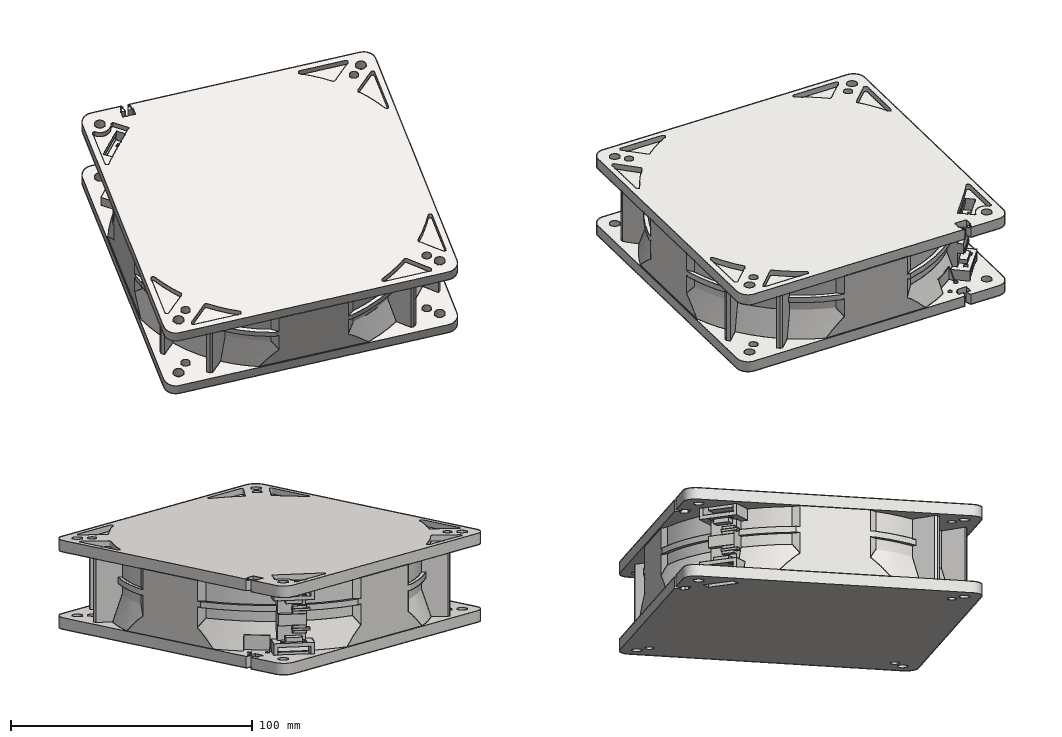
import cadquery as cq
import math

SIDE = 127.0
HEIGHT = 38.0
CORNER_RADIUS = 5.3
FLANGE = 5.0
HALF = SIDE / 2
TOP = HEIGHT / 2
INNER_TOP = TOP - FLANGE
GAP = 2 * INNER_TOP

BODY_HALF = HALF - 0.5
BODY_RADIUS = 63.4
CONE_TOP_Z = -2.2
CONE_BOTTOM_RADIUS = 67.3
FLAT_HALF_WIDTH = 15.0
JAMB_REACH = 5.6
JAMB_DEPTH = 4.3
RING_RADIUS = 65.2
RING_BOTTOM_Z = 2.5
RING_HEIGHT = 2.5

WEB_OUTER_OFFSET = 17.5
WEB_INNER_OFFSET = 14.0
WEB_END = 60.5
WEB_END_FLAT = 1.3
WEB_ROOT = 40.6

HOLE_CENTER = 56.5
HOLE_DIAMETER = 4.5
SMALL_HOLE_CENTER = 52.2
SMALL_HOLE_DIAMETER = 3.8
POCKET_DEPTH = 2.5
POCKET_EDGE = 60.8
POCKET_OFFSET = 7.6
POCKET_INNER_RADIUS = 66.8
POCKET_FILLET = 0.9
PLAIN_CORNERS = [(1, 1), (-1, 1), (1, -1)]
ALL_CORNERS = PLAIN_CORNERS + [(-1, -1)]

TERMINAL_ANGLE = 140.0
FRAME_U = (-7.2, 9.9)
FRAME_W = 73.0
FRAME_BOTTOM_Z = 9.1
FRAME_WALL = 1.7
FRAME_FLOOR_Z = FRAME_BOTTOM_Z + FRAME_WALL
ROOT_W = 57.2
BLOCK_U = (-4.3, 7.5)
BLOCK_W = 69.8
BLOCK_HALF_HEIGHT = 2.4
RECESS_W = 67.5
BAR_U = (-2.5, 4.5)
BAR_W = 71.0
BAR_BOTTOM_Z = 7.2
CHEEK_U = (-4.3, 1.4)
CHEEK_W = 69.5
CHEEK_TOP_Z = 5.8
PIN_U = (-5.8, 1.5)
PIN_W = 69.8
PIN_Z = (3.7, 4.7)
OPENING_W = (68.3, 72.6)
TERMINAL_POCKET_INNER_W = 67.8
LEAD_HOLE_U = (-3.4, 5.8)
LEAD_HOLE_W = 70.6
LEAD_HOLE_SIZE = (1.5, 1.8)
TERMINAL_POCKET_OUTER_W = 74.9
TERMINAL_POCKET_CORNER_X = -52.8
TERMINAL_POCKET_TAIL_X = -32.4
HOLE_BOSS_RADIUS = 4.7

SLOT_X = (-61.0, -57.5)
SLOT_Y = (-46.2, -40.8)
THROAT_CENTER_Y = -43.5
THROAT_MOUTH = 2.8
THROAT_NECK = 1.0
LIP_END_X = -62.7
LIP_WIDTH = 4.3
LIP_RECESS = 0.6
SLOT_CHAMFER = 1.3

RELIEF_START = (-55.2, -33.8)
RELIEF_END = (-49.0, -42.8)
RELIEF_TOP_Z = -7.6
RELIEF_REACH = 5.1
PIN_HOLES = [(-57.3, -38.6), (-52.3, -44.2)]
PIN_HOLE_DIAMETER = 1.8
PIN_HOLE_DEPTH = 2.5


def level(z):
    return cq.Workplane("XY", origin=(0, 0, z))


def terminal_level(z):
    angle = math.radians(TERMINAL_ANGLE)
    along = (math.cos(angle), math.sin(angle), 0)
    return cq.Workplane(cq.Plane(origin=(0, 0, z), xDir=along, normal=(0, 0, 1)))


def box(plane, first, second, height):
    """Box standing on a plane, given its two ranges in that plane."""
    corners = [(a, b) for a in first for b in second]
    outline = [corners[0], corners[2], corners[3], corners[1]]
    return plane.polyline(outline).close().extrude(height)


def terminal_box(u_range, w_range, z_range):
    return box(terminal_level(z_range[0]), u_range, w_range, z_range[1] - z_range[0])


def terminal_point(u, w):
    angle = math.radians(TERMINAL_ANGLE)
    return (u * math.cos(angle) - w * math.sin(angle), u * math.sin(angle) + w * math.cos(angle))


def mirrored_pair(solid):
    return solid.union(solid.mirror("XY"))


def flanges():
    lower = level(-TOP).rect(SIDE, SIDE).extrude(FLANGE).edges("|Z").fillet(CORNER_RADIUS)
    return mirrored_pair(lower)


def body():
    drum = level(-INNER_TOP).circle(BODY_RADIUS).extrude(GAP)
    cone = (
        level(-INNER_TOP).circle(CONE_BOTTOM_RADIUS)
        .workplane(offset=CONE_TOP_Z + INNER_TOP).circle(BODY_RADIUS).loft()
    )
    ring = level(RING_BOTTOM_Z).circle(RING_RADIUS).extrude(RING_HEIGHT)
    for sx, sy in PLAIN_CORNERS:
        between_webs = level(RING_BOTTOM_Z).polyline([
            (0, 0), (0, sy * WEB_INNER_OFFSET),
            (sx * (HALF - WEB_INNER_OFFSET), sy * HALF), (sx * HALF, sy * HALF),
            (sx * HALF, sy * (HALF - WEB_INNER_OFFSET)), (sx * WEB_INNER_OFFSET, 0),
        ]).close().extrude(RING_HEIGHT)
        ring = ring.cut(between_webs)
    solid = drum.union(cone).union(ring)

    root_half = FLAT_HALF_WIDTH + JAMB_REACH
    root_y = BODY_HALF - JAMB_DEPTH
    side_wall = level(-INNER_TOP).polyline([
        (-root_half, 0), (-root_half, root_y), (-FLAT_HALF_WIDTH, BODY_HALF),
        (FLAT_HALF_WIDTH, BODY_HALF), (root_half, root_y), (root_half, 0),
    ]).close().extrude(GAP)
    for turn in range(4):
        solid = solid.union(side_wall.rotate((0, 0, 0), (0, 0, 1), 90 * turn))

    envelope = level(-INNER_TOP).rect(2 * BODY_HALF, 2 * BODY_HALF).extrude(GAP)
    return solid.intersect(envelope)


def both_sides_of_diagonal(outline):
    return [outline, [(y, x) for x, y in outline]]


def webs():
    outer_end_x = WEB_END - WEB_OUTER_OFFSET
    bevel_x = outer_end_x + WEB_END_FLAT
    bevel = (WEB_OUTER_OFFSET - WEB_INNER_OFFSET - WEB_END_FLAT) / 2
    root_shift = (WEB_OUTER_OFFSET - WEB_INNER_OFFSET) / 2
    outline = [
        (WEB_ROOT - WEB_OUTER_OFFSET, WEB_ROOT),
        (outer_end_x, WEB_END),
        (bevel_x, WEB_END),
        (bevel_x + bevel, WEB_END - bevel),
        (WEB_ROOT - WEB_OUTER_OFFSET + root_shift, WEB_ROOT - root_shift),
    ]
    solid = cq.Workplane("XY")
    for sx, sy in PLAIN_CORNERS:
        for half in both_sides_of_diagonal(outline):
            points = [(sx * x, sy * y) for x, y in half]
            solid = solid.union(level(-INNER_TOP).polyline(points).close().extrude(GAP))
    return solid


def corner_holes():
    main = [(sx * HOLE_CENTER, sy * HOLE_CENTER) for sx, sy in ALL_CORNERS]
    small = [(sx * SMALL_HOLE_CENTER, sy * SMALL_HOLE_CENTER) for sx, sy in PLAIN_CORNERS]
    solid = level(-TOP).pushPoints(main).circle(HOLE_DIAMETER / 2).extrude(HEIGHT)
    return solid.union(level(-TOP).pushPoints(small).circle(SMALL_HOLE_DIAMETER / 2).extrude(HEIGHT))


def corner_pockets():
    floor = TOP - POCKET_DEPTH
    inner_disc = level(floor).circle(POCKET_INNER_RADIUS).extrude(POCKET_DEPTH)
    outline = [
        (0, POCKET_OFFSET), (0, POCKET_EDGE), (POCKET_EDGE - POCKET_OFFSET, POCKET_EDGE),
    ]
    solid = cq.Workplane("XY")
    for sx, sy in PLAIN_CORNERS:
        for half in both_sides_of_diagonal(outline):
            points = [(sx * x, sy * y) for x, y in half]
            pocket = level(floor).polyline(points).close().extrude(POCKET_DEPTH).cut(inner_disc)
            solid = solid.union(pocket.edges("|Z").fillet(POCKET_FILLET))
    return solid


def frame_opening_u():
    return (FRAME_U[0] + FRAME_WALL, FRAME_U[1] - FRAME_WALL)


def terminal_block():
    """Terminal carrier and the frames above and below it."""
    block = terminal_box(BLOCK_U, (ROOT_W, BLOCK_W), (-BLOCK_HALF_HEIGHT, BLOCK_HALF_HEIGHT))
    back = terminal_box(BLOCK_U, (ROOT_W, RECESS_W), (0, FRAME_BOTTOM_Z))
    frame = terminal_box(FRAME_U, (ROOT_W, FRAME_W), (FRAME_BOTTOM_Z, INNER_TOP))
    hollow = terminal_box(frame_opening_u(), (ROOT_W, FRAME_W), (FRAME_FLOOR_Z, INNER_TOP))
    frame = frame.cut(hollow)
    bar = terminal_box(BAR_U, (ROOT_W, BAR_W), (BAR_BOTTOM_Z, FRAME_BOTTOM_Z))
    cheek = terminal_box(CHEEK_U, (ROOT_W, CHEEK_W), (0, CHEEK_TOP_Z))
    pin = terminal_box(PIN_U, (RECESS_W, PIN_W), PIN_Z)
    upper = back.union(frame).union(bar).union(cheek).union(pin)
    return block.union(mirrored_pair(upper))


def terminal_openings():
    """Windows through both flanges, with two lead holes in each frame floor."""
    window = terminal_box(frame_opening_u(), OPENING_W, (INNER_TOP, TOP))
    leads = (
        terminal_level(CHEEK_TOP_Z).pushPoints([(u, LEAD_HOLE_W) for u in LEAD_HOLE_U])
        .rect(*LEAD_HOLE_SIZE).extrude(FRAME_FLOOR_Z - CHEEK_TOP_Z)
    )
    return mirrored_pair(window.union(leads))


def terminal_pocket():
    floor = TOP - POCKET_DEPTH
    pocket = level(floor).polyline([
        terminal_point(FRAME_U[1], TERMINAL_POCKET_INNER_W),
        terminal_point(FRAME_U[1], TERMINAL_POCKET_OUTER_W),
        (TERMINAL_POCKET_CORNER_X, -POCKET_EDGE),
        (TERMINAL_POCKET_TAIL_X, -POCKET_EDGE),
        terminal_point(frame_opening_u()[0], TERMINAL_POCKET_INNER_W),
    ]).close().extrude(POCKET_DEPTH)
    hole_boss = (
        level(floor).center(-HOLE_CENTER, -HOLE_CENTER).circle(HOLE_BOSS_RADIUS).extrude(POCKET_DEPTH)
    )
    return pocket.cut(hole_boss).edges("|Z").edges(">X").fillet(POCKET_FILLET)


def cable_slot():
    """Slot through both flanges, entered through a flared throat with sunken lips."""
    upper_window = box(level(0), SLOT_X, SLOT_Y, TOP)
    lower_window = box(level(-TOP), SLOT_X, SLOT_Y, TOP)
    window = upper_window.union(lower_window.edges("|Z and >X and >Y").chamfer(SLOT_CHAMFER))
    throat = level(-TOP).polyline([
        (-HALF, THROAT_CENTER_Y - THROAT_MOUTH / 2),
        (SLOT_X[0], THROAT_CENTER_Y - THROAT_NECK / 2),
        (SLOT_X[0], THROAT_CENTER_Y + THROAT_NECK / 2),
        (-HALF, THROAT_CENTER_Y + THROAT_MOUTH / 2),
    ]).close().extrude(HEIGHT)
    lip_y = (THROAT_CENTER_Y - LIP_WIDTH / 2, THROAT_CENTER_Y + LIP_WIDTH / 2)
    lips = box(level(TOP - LIP_RECESS), (LIP_END_X, SLOT_X[0]), lip_y, LIP_RECESS)
    return window.union(throat).union(lips)


def cone_relief():
    """Upright flat cut into the cone beside the cable slot."""
    run_x = RELIEF_END[0] - RELIEF_START[0]
    run_y = RELIEF_END[1] - RELIEF_START[1]
    scale = RELIEF_REACH / math.hypot(run_x, run_y)
    out_x = run_y * scale
    out_y = -run_x * scale
    return level(-INNER_TOP).polyline([
        RELIEF_START, RELIEF_END,
        (RELIEF_END[0] + out_x, RELIEF_END[1] + out_y),
        (RELIEF_START[0] + out_x, RELIEF_START[1] + out_y),
    ]).close().extrude(RELIEF_TOP_Z + INNER_TOP)


def pin_holes():
    return (
        level(-INNER_TOP - PIN_HOLE_DEPTH).pushPoints(PIN_HOLES)
        .circle(PIN_HOLE_DIAMETER / 2).extrude(PIN_HOLE_DEPTH)
    )


result = flanges().union(body().cut(cone_relief())).union(webs()).union(terminal_block())
for cutter in (corner_holes(), corner_pockets(), terminal_pocket(), terminal_openings(),
               cable_slot(), pin_holes()):
    result = result.cut(cutter)